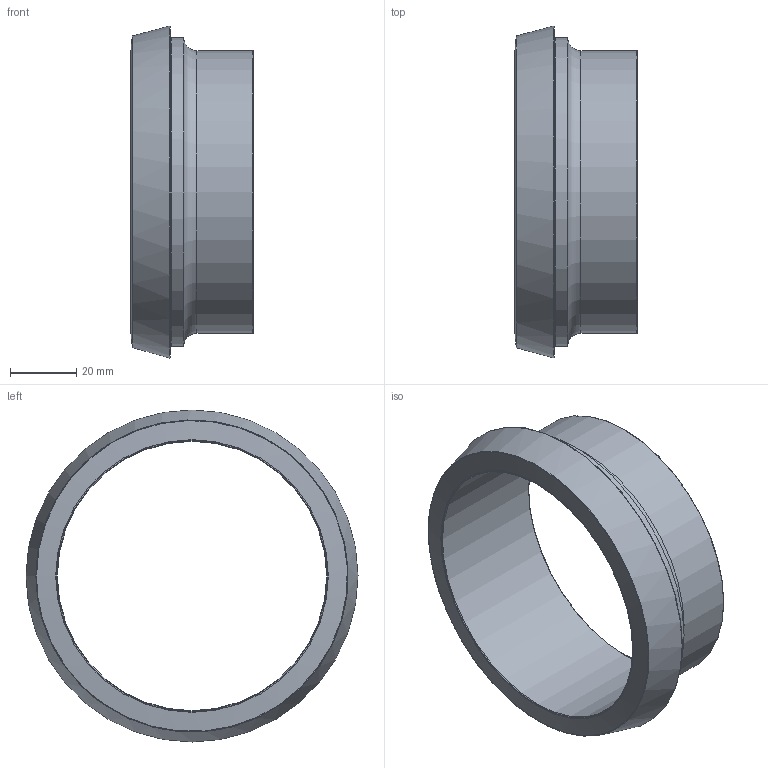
import cadquery as cq
import math

total_length = 37.0
flange_back_x = 12.0
collar_end_x = 16.0
neck_end_x = 20.0

bore_radius = 40.5
sleeve_radius = 42.5
collar_radius = 46.5
flange_radius = 50.0

flange_taper = math.radians(15.0)
front_face_slope = math.radians(5.0)
front_land_width = 0.5

edge_rounding = 0.2
size_tolerance = 0.001

front_land_radius = bore_radius + front_land_width
flange_front_x = (
    flange_radius - flange_back_x * math.tan(flange_taper) - front_land_radius
) / (1 / math.tan(front_face_slope) - math.tan(flange_taper))
flange_front_radius = front_land_radius + flange_front_x / math.tan(front_face_slope)


def make_ring():
    """Revolve the half section (X along the axis, Y as the radius)."""
    neck_radius = neck_end_x - collar_end_x
    neck_middle = (
        neck_end_x - neck_radius * math.sin(math.pi / 4),
        sleeve_radius + neck_radius * (1 - math.cos(math.pi / 4)),
    )
    profile = (
        cq.Workplane("XY")
        .moveTo(0, bore_radius)
        .lineTo(0, front_land_radius)
        .lineTo(flange_front_x, flange_front_radius)
        .lineTo(flange_back_x, flange_radius)
        .lineTo(flange_back_x, collar_radius)
        .lineTo(collar_end_x, collar_radius)
        .threePointArc(neck_middle, (neck_end_x, sleeve_radius))
        .lineTo(total_length, sleeve_radius)
        .lineTo(total_length, bore_radius)
        .close()
    )
    return profile.revolve(360, (0, 0, 0), (1, 0, 0))


def round_circle(ring, x, radius):
    """Round the circular edge that lies at the given axial place and radius."""

    def is_wanted(edge):
        return (
            abs(edge.arcCenter().x - x) < size_tolerance
            and abs(edge.radius() - radius) < size_tolerance
        )

    return ring.edges("%CIRCLE").filter(is_wanted).fillet(edge_rounding)


rounded_circles = [
    (0, bore_radius),
    (flange_front_x, flange_front_radius),
    (flange_back_x, flange_radius),
    (flange_back_x, collar_radius),
    (total_length, sleeve_radius),
    (total_length, bore_radius),
]

result = make_ring()
for circle_x, circle_radius in rounded_circles:
    result = round_circle(result, circle_x, circle_radius)